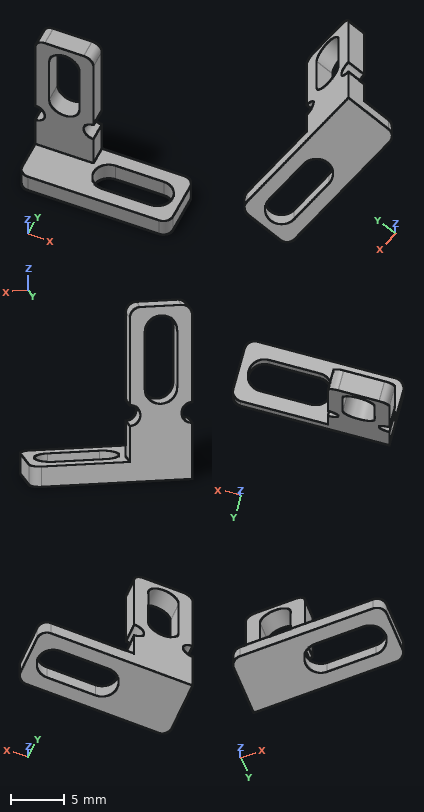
import cadquery as cq

length = 15.5
depth = 6.0
height = 17.04
thickness = 2.0
upright_width = depth

corner_radius = 1.0
notch_radius = 1.0
notch_height = 6.5

slot_width = 3.1
upright_slot_bottom = 7.5
base_slot_start = 6.45
slot_end_margin = 0.95

upright_slot_top = height - slot_end_margin
base_slot_end = length - slot_end_margin


def make_base():
    """Flat plate, with only the corner below the upright left square."""
    plate = cq.Workplane("XY").box(length, depth, thickness, centered=False)
    return plate.edges("|Z and (>X or <Y)").fillet(corner_radius)


def make_upright():
    """Wall along the back edge, with its two top corners rounded."""
    wall = cq.Workplane("XY").box(upright_width, thickness, height, centered=False)
    wall = wall.edges("|Y and >Z").fillet(corner_radius)
    return wall.translate((0, depth - thickness, 0))


def make_base_slot():
    """Cutter for the slot running along X through the base."""
    return (
        cq.Workplane("XY")
        .center((base_slot_start + base_slot_end) / 2, depth / 2)
        .slot2D(base_slot_end - base_slot_start, slot_width)
        .extrude(thickness)
    )


def make_upright_slot():
    """Cutter for the slot running along Z through the upright."""
    return (
        cq.Workplane("XZ", origin=(0, depth, 0))
        .center(upright_width / 2, (upright_slot_bottom + upright_slot_top) / 2)
        .slot2D(upright_slot_top - upright_slot_bottom, slot_width, 90)
        .extrude(thickness)
    )


def make_notches():
    """Cutters for the half-round notches in both sides of the upright."""
    return (
        cq.Workplane("XZ", origin=(0, depth, 0))
        .pushPoints([(0, notch_height), (upright_width, notch_height)])
        .circle(notch_radius)
        .extrude(thickness)
    )


bracket = make_base().union(make_upright())
result = bracket.cut(make_base_slot()).cut(make_upright_slot()).cut(make_notches())